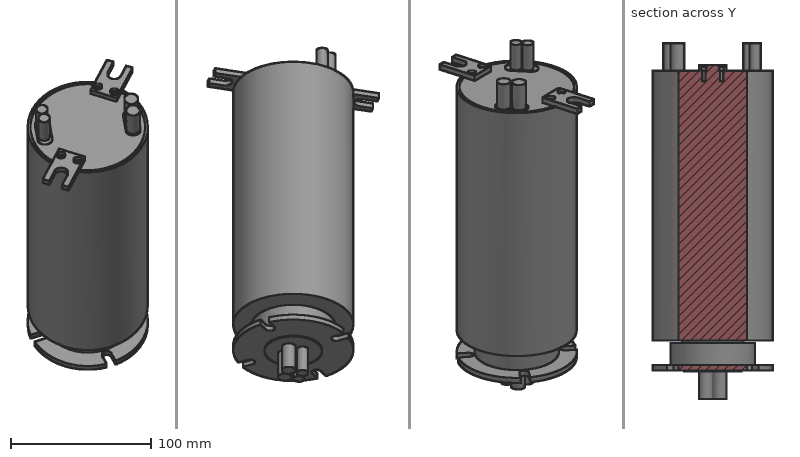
import cadquery as cq
import math

total_height = 254.2
flange_underside = 20.3
flange_thickness = 4.0
flange_top = flange_underside + flange_thickness
collar_top = 40.2
body_bottom = 41.7
body_top = 234.5

body_radius = 43.0
collar_radius = 30.2
neck_radius = 22.0
gland_radius = 20.5
gland_thickness = 0.8
gland_underside = flange_underside - gland_thickness

cap_radius = 41.0
cap_recess = 0.3
cap_top = body_top - cap_recess

rim_slot_count = 4
rim_first_slot_angle = 45
rim_slot_width = 6.9
rim_slot_end = 31.5

bracket_width = 19.8
bracket_inner_end = 30.0
bracket_outer_end = 61.0
bracket_thickness = 4.0
fork_width = 10.0
fork_depth = 15.3
screw_spacing = 12.7
screw_distance = 35.0
screw_hole_diameter = 3.3
countersink_diameter = 6.0
countersink_angle = 90
screw_core_diameter = 2.0
screw_core_depth = 7.5

thick_cable_diameter = 10.0
thin_cable_diameter = 8.1
well_radius_from_axis = 31.8
well_angle = 30
well_width = 10.7
well_length = 24.0
well_depth = 0.3
well_floor = cap_top - well_depth
thick_pair_y = 4.8
thin_pair_y = -5.5
pair_clearance = 0.13
thick_pair_spacing = thick_cable_diameter + pair_clearance
thin_pair_spacing = 8.6
thick_cables_above = [(25.2, 20.5), (30.5, 11.0)]
thin_cables_above = [(-30.2, -12.5), (-25.7, -19.5)]


def mirrored_pair(spacing, y):
    """Two points at the same Y, on either side of the YZ plane."""
    return [(side * spacing / 2, y) for side in (-1, 1)]


def rods(points, diameter, bottom, top):
    """Upright round rods standing at the given points."""
    return (
        cq.Workplane("XY", origin=(0, 0, bottom))
        .pushPoints(points)
        .circle(diameter / 2)
        .extrude(top - bottom)
    )


def disc(radius, bottom, top):
    """A round section centred on the Z axis."""
    return rods([(0, 0)], 2 * radius, bottom, top)


def slotted_flange():
    """Round flange with evenly spaced slots open at its rim."""
    flange = disc(body_radius, flange_underside, flange_top)
    slot_length = body_radius
    slot_centre = rim_slot_end + slot_length / 2
    slot = (
        cq.Workplane("XY", origin=(0, 0, flange_underside))
        .center(slot_centre, 0)
        .slot2D(slot_length, rim_slot_width)
        .extrude(flange_thickness)
    )
    for index in range(rim_slot_count):
        angle = rim_first_slot_angle + index * 360 / rim_slot_count
        flange = flange.cut(slot.rotate((0, 0, 0), (0, 0, 1), angle))
    return flange


def cable_well(side_angle):
    """Shallow oblong recess lying across the radius at the given angle."""
    angle = math.radians(side_angle)
    return (
        cq.Workplane("XY", origin=(0, 0, well_floor))
        .center(well_radius_from_axis * math.cos(angle), well_radius_from_axis * math.sin(angle))
        .slot2D(well_length, well_width, side_angle + 90)
        .extrude(well_depth)
    )


def fork_bracket(screw_points):
    """Bracket reaching out along +Y with an open fork at its outer end."""
    length = bracket_outer_end - bracket_inner_end
    fork_centre = bracket_outer_end - fork_depth + fork_width / 2
    plate = (
        cq.Workplane("XY", origin=(0, 0, body_top))
        .center(0, bracket_inner_end + length / 2)
        .rect(bracket_width, length)
        .extrude(bracket_thickness)
    )
    fork = (
        cq.Workplane("XY", origin=(0, 0, body_top))
        .center(0, fork_centre + fork_depth / 2)
        .slot2D(fork_depth + fork_width, fork_width, 90)
        .extrude(bracket_thickness)
    )
    return (
        plate.cut(fork)
        .copyWorkplane(cq.Workplane("XY", origin=(0, 0, body_top + bracket_thickness)))
        .pushPoints(screw_points)
        .cskHole(screw_hole_diameter, countersink_diameter, countersink_angle)
    )


result = disc(body_radius, body_bottom, body_top)
result = result.cut(disc(cap_radius, cap_top, body_top))
for side_angle in (well_angle, well_angle + 180):
    result = result.cut(cable_well(side_angle))

result = result.union(disc(neck_radius, collar_top, body_bottom))
result = result.union(disc(collar_radius, flange_top, collar_top))
result = result.union(slotted_flange())
result = result.union(disc(gland_radius, gland_underside, flange_underside))

screw_points = mirrored_pair(screw_spacing, screw_distance)
bracket = fork_bracket(screw_points)
screw_cores = rods(screw_points, screw_core_diameter, body_top - screw_core_depth, body_top)
for turn in (0, 180):
    result = result.union(bracket.rotate((0, 0, 0), (0, 0, 1), turn))
    result = result.cut(screw_cores.rotate((0, 0, 0), (0, 0, 1), turn))

result = result.union(rods(thick_cables_above, thick_cable_diameter, well_floor, total_height))
result = result.union(rods(thin_cables_above, thin_cable_diameter, well_floor, total_height))

thick_cables_below = mirrored_pair(thick_pair_spacing, thick_pair_y)
thin_cables_below = mirrored_pair(thin_pair_spacing, thin_pair_y)
result = result.union(rods(thick_cables_below, thick_cable_diameter, 0, gland_underside))
result = result.union(rods(thin_cables_below, thin_cable_diameter, 0, gland_underside))